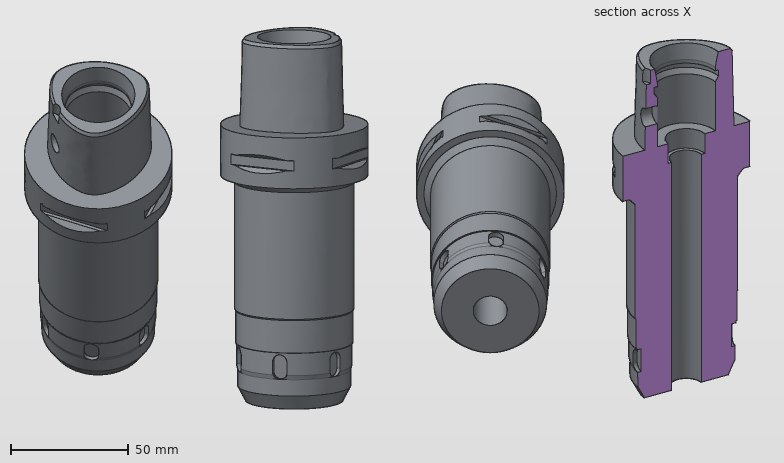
import cadquery as cq
import math

total_length = 158.0
shank_length = 37.9
flange_z = total_length - shank_length

shank_base_width = 44.4
shank_taper = 0.05
lobe_height = 1.5
outline_points = 72
shank_chamfer_height = 1.5
shank_chamfer_inset = 1.0

flange_diameter = 63.0
flange_radius = flange_diameter / 2
flange_height = 22.1
flange_cone_radius = 28.3
flange_cone_height = 2.8
groove_below_flange = 12.2
groove_floor_distance = 27.5
groove_floor_height = 4.5
groove_mouth_height = 7.9
groove_flare_distance = 28.9

body_radius = 25.6
body_bottom_z = 39.3
body_chamfer_height = 0.6
collar_radius = 25.1
nut_top_z = 25.1
nut_radius = 24.6
nut_step_top_z = 15.3
nut_step_bottom_z = 13.5
nose_radius = 24.2
nose_cone_height = 6.3
nose_tip_radius = 20.9

slot_count = 6
slot_width = 6.3
slot_height = 10.7
slot_floor_distance = 22.5

mouth_radius = 15.6
bore_radius = 14.2
mouth_cone_depth = 7.3
recess_top_depth = 9.0
recess_radius = 15.8
recess_cone_top_depth = 11.8
recess_cone_bottom_depth = 14.2
bore_depth = shank_length
counterbore_radius = 9.0
counterbore_depth = 47.4
through_radius = 7.3

key_radius = 3.8
key_axis_distance = 21.6
key_depth = 6.5
side_hole_radius = 4.3
side_hole_drop = 22.5
side_hole_floor_distance = 14.5


def shank_outline(width, z):
    """Wire of the lobed section at height z, with one lobe pointing to +Y."""

    def point(turn):
        angle = 2 * math.pi * turn
        reach = width / 2 + lobe_height * math.cos(3 * angle)
        slide = -3 * lobe_height * math.sin(3 * angle)
        return (
            -reach * math.sin(angle) - slide * math.cos(angle),
            reach * math.cos(angle) - slide * math.sin(angle),
            z,
        )

    points = [point(index / outline_points) for index in range(outline_points)]
    edge = cq.Edge.makeSpline([cq.Vector(*place) for place in points], periodic=True)
    return cq.Wire.assembleEdges([edge])


def make_shank():
    """Tapered lobed shank with a chamfered top edge."""
    chamfer_z = total_length - shank_chamfer_height
    chamfer_width = shank_base_width - shank_taper * (chamfer_z - flange_z)
    tip_width = chamfer_width - 2 * shank_chamfer_inset
    base = shank_outline(shank_base_width, flange_z)
    shoulder = shank_outline(chamfer_width, chamfer_z)
    tip = shank_outline(tip_width, total_length)
    taper = cq.Workplane().add(cq.Solid.makeLoft([base, shoulder], True))
    chamfer = cq.Workplane().add(cq.Solid.makeLoft([shoulder, tip], True))
    return taper.union(chamfer)


def make_body():
    """Turned nut, body and flange, from the bottom up."""
    flange_bottom_z = flange_z - flange_height
    cone_bottom_z = flange_bottom_z - flange_cone_height
    profile = [
        (0, 0),
        (nose_tip_radius, 0),
        (nose_radius, nose_cone_height),
        (nose_radius, nut_step_bottom_z),
        (nut_radius, nut_step_top_z),
        (nut_radius, nut_top_z),
        (collar_radius, nut_top_z),
        (collar_radius, body_bottom_z),
        (body_radius, body_bottom_z + body_chamfer_height),
        (body_radius, cone_bottom_z),
        (flange_cone_radius, flange_bottom_z),
        (flange_radius, flange_bottom_z),
        (flange_radius, flange_z),
        (0, flange_z),
    ]
    return cq.Workplane("XZ").polyline(profile).close().revolve()


def make_bore():
    """Stepped bore with a tapered mouth and a wider recess below it."""
    profile = [
        (0, 0),
        (through_radius, 0),
        (through_radius, total_length - counterbore_depth),
        (counterbore_radius, total_length - counterbore_depth),
        (counterbore_radius, total_length - bore_depth),
        (bore_radius, total_length - bore_depth),
        (bore_radius, total_length - recess_cone_bottom_depth),
        (recess_radius, total_length - recess_cone_top_depth),
        (recess_radius, total_length - recess_top_depth),
        (bore_radius, total_length - recess_top_depth),
        (bore_radius, total_length - mouth_cone_depth),
        (mouth_radius, total_length),
        (0, total_length),
    ]
    return cq.Workplane("XZ").polyline(profile).close().revolve()


def make_gripper_grooves():
    """Four straight grooves with flared sides, at 45 degrees to the axes."""
    groove_z = flange_z - groove_below_flange
    floor_half = groove_floor_height / 2
    mouth_half = groove_mouth_height / 2
    groove = (
        cq.Workplane("XZ")
        .polyline(
            [
                (groove_floor_distance, groove_z - floor_half),
                (groove_flare_distance, groove_z - floor_half),
                (flange_radius, groove_z - mouth_half),
                (flange_radius, groove_z + mouth_half),
                (groove_flare_distance, groove_z + floor_half),
                (groove_floor_distance, groove_z + floor_half),
            ]
        )
        .close()
        .extrude(flange_radius, both=True)
    )
    grooves = cq.Workplane()
    for angle in (45, 135, 225, 315):
        grooves = grooves.add(groove.rotate((0, 0, 0), (0, 0, 1), angle))
    return grooves.combine()


def make_spanner_slots():
    """Flat-floored upright slots with round ends, the first on -Y."""
    slot_z = nut_step_bottom_z + slot_height / 2
    slot = (
        cq.Workplane("XZ", origin=(0, -slot_floor_distance, slot_z))
        .slot2D(slot_height, slot_width, 90)
        .extrude(flange_radius - slot_floor_distance)
    )
    slots = cq.Workplane()
    for index in range(slot_count):
        slots = slots.add(slot.rotate((0, 0, 0), (0, 0, 1), index * 360 / slot_count))
    return slots.combine()


def make_key_notch():
    """Notch with a round back in the top edge of the shank."""
    return (
        cq.Workplane("XY", origin=(0, -key_axis_distance, total_length - key_depth))
        .circle(key_radius)
        .extrude(key_depth)
    )


def make_side_hole():
    """Blind round hole in the -Y face of the shank."""
    return (
        cq.Workplane("XZ", origin=(0, -side_hole_floor_distance, total_length - side_hole_drop))
        .circle(side_hole_radius)
        .extrude(flange_radius - side_hole_floor_distance)
    )


result = (
    make_body()
    .union(make_shank())
    .cut(make_bore())
    .cut(make_gripper_grooves())
    .cut(make_spanner_slots())
    .cut(make_key_notch())
    .cut(make_side_hole())
)